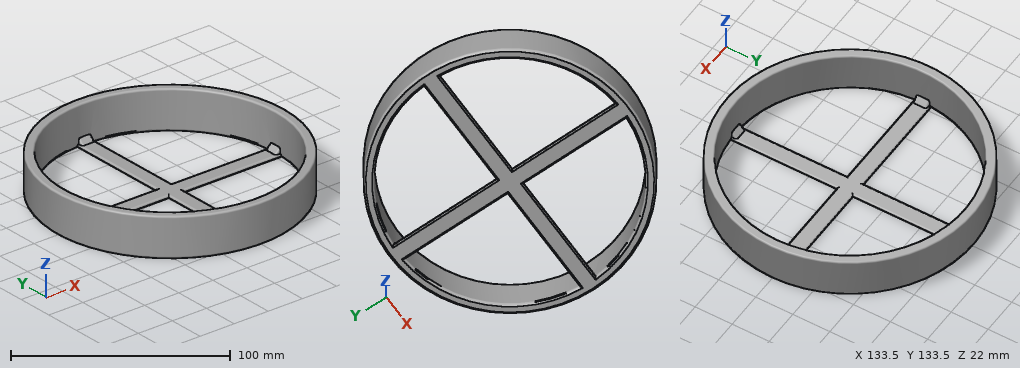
import cadquery as cq
import math

outer_diameter = 133.5
bore_diameter = 123.5
ring_height = 22.0
edge_radius = 1.0
floor_chamfer = 0.8

spoke_width = 8.7
spoke_thickness = 2.0

gusset_size = 3.0
gusset_width = 7.3

bore_radius = bore_diameter / 2
wall_thickness = (outer_diameter - bore_diameter) / 2
anchor_radius = bore_radius + wall_thickness / 2


def make_ring():
    """Ring with rounded rims; each lower rounding turns into a 45 degree chamfer at the floor."""
    arc_angle = math.radians(45)
    arc_drop = edge_radius * math.sin(arc_angle)
    arc_inset = edge_radius - arc_drop
    base_height = floor_chamfer + arc_drop
    half_wall = wall_thickness / 2
    half_floor = half_wall - arc_inset - floor_chamfer
    mid_arc_inset = edge_radius * (1 - math.cos(arc_angle / 2))
    mid_arc_height = base_height - edge_radius * math.sin(arc_angle / 2)
    section = (
        cq.Workplane("XZ")
        .center(anchor_radius, 0)
        .moveTo(-half_floor, 0)
        .lineTo(half_floor, 0)
        .lineTo(half_wall - arc_inset, floor_chamfer)
        .threePointArc((half_wall - mid_arc_inset, mid_arc_height), (half_wall, base_height))
        .lineTo(half_wall, ring_height)
        .lineTo(-half_wall, ring_height)
        .lineTo(-half_wall, base_height)
        .threePointArc(
            (-half_wall + mid_arc_inset, mid_arc_height), (-half_wall + arc_inset, floor_chamfer)
        )
        .close()
    )
    ring = section.revolve(360, (-anchor_radius, 0, 0), (-anchor_radius, 1, 0))
    return ring.faces(">Z").edges().fillet(edge_radius)


def make_spoke():
    """Full-length bar along X with rounded upper and chamfered lower long edges."""
    bar = cq.Workplane("XY").box(
        2 * anchor_radius, spoke_width, spoke_thickness, centered=(True, True, False)
    )
    bar = bar.faces(">Z").edges("|X").fillet(edge_radius)
    return bar.faces("<Z").edges("|X").chamfer(floor_chamfer)


def make_gusset():
    """45 degree wedge at the +X end, with rounded edges along its slope."""
    slope_start = bore_radius - gusset_size - (spoke_thickness - floor_chamfer)
    rise = anchor_radius - slope_start
    wedge = (
        cq.Workplane("XZ")
        .moveTo(slope_start, floor_chamfer)
        .lineTo(anchor_radius, floor_chamfer)
        .lineTo(anchor_radius, floor_chamfer + rise)
        .close()
        .extrude(gusset_width / 2, both=True)
    )
    return wedge.edges("not(|X or |Y or |Z)").fillet(edge_radius)


result = make_ring()
spoke = make_spoke()
gusset = make_gusset()
for angle in (0, 90):
    result = result.union(spoke.rotate((0, 0, 0), (0, 0, 1), angle))
for angle in (0, 90, 180, 270):
    result = result.union(gusset.rotate((0, 0, 0), (0, 0, 1), angle))